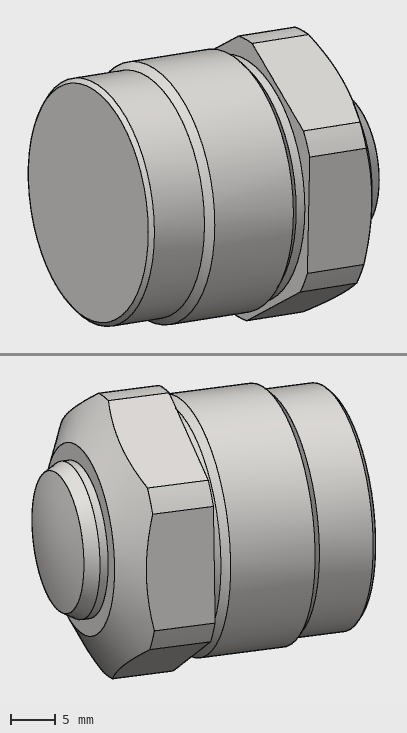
import cadquery as cq
import math


spigot_radius = 14.15
band_radius = 15.0
band_bevel = band_radius - spigot_radius
front_chamfer = 0.5
band_start = 7.0
band_end = 18.9
hex_start = 20.03

across_flats = 30.0
corner_radius = 16.5
hex_turn = -2.2
hex_end = 30.53
cone_small_radius = 11.0
cone_angle = 30.0
cone_start = hex_end - (corner_radius - cone_small_radius) * math.tan(math.radians(cone_angle))

seat_radius = 9.0
seat_end = 31.52

overall_length = 34.0
dome_radius_at_edge = 8.13
dome_height = 0.9
taper_end = overall_length - dome_height


def revolve_about_y(profile):
    """Turn a closed half profile, drawn in X and Y, once around the Y axis."""
    return profile.close().revolve(360, (0, 0, 0), (0, 1, 0))


def make_barrel():
    return revolve_about_y(
        cq.Workplane("XY")
        .moveTo(0, 0)
        .lineTo(spigot_radius - front_chamfer, 0)
        .lineTo(spigot_radius, front_chamfer)
        .lineTo(spigot_radius, band_start)
        .lineTo(band_radius, band_start + band_bevel)
        .lineTo(band_radius, band_end - band_bevel)
        .lineTo(spigot_radius, band_end)
        .lineTo(spigot_radius, hex_start)
        .lineTo(0, hex_start)
    )


def make_hexagon():
    across_corners = across_flats / math.cos(math.radians(30))
    prism = (
        cq.Workplane("XZ", origin=(0, hex_start, 0))
        .transformed(rotate=(0, 0, 30 + hex_turn))
        .polygon(6, across_corners)
        .extrude(hex_start - hex_end)
    )
    turned_blank = revolve_about_y(
        cq.Workplane("XY")
        .moveTo(0, hex_start)
        .lineTo(corner_radius, hex_start)
        .lineTo(corner_radius, cone_start)
        .lineTo(cone_small_radius, hex_end)
        .lineTo(0, hex_end)
    )
    return prism.intersect(turned_blank)


def make_seat():
    return cq.Workplane("XZ", origin=(0, hex_end, 0)).circle(seat_radius).extrude(hex_end - seat_end)


def make_housing():
    return make_barrel().union(make_hexagon()).union(make_seat())


def make_button():
    sphere_radius = (dome_radius_at_edge**2 + dome_height**2) / (2 * dome_height)
    arc_mid_x = dome_radius_at_edge / 2
    sphere_center = overall_length - sphere_radius
    arc_mid_y = sphere_center + math.sqrt(sphere_radius**2 - arc_mid_x**2)
    return revolve_about_y(
        cq.Workplane("XY")
        .moveTo(0, seat_end)
        .lineTo(seat_radius, seat_end)
        .lineTo(dome_radius_at_edge, taper_end)
        .threePointArc((arc_mid_x, arc_mid_y), (0, overall_length))
    )


housing = make_housing()
button = make_button()
result = cq.Compound.makeCompound([housing.val(), button.val()])